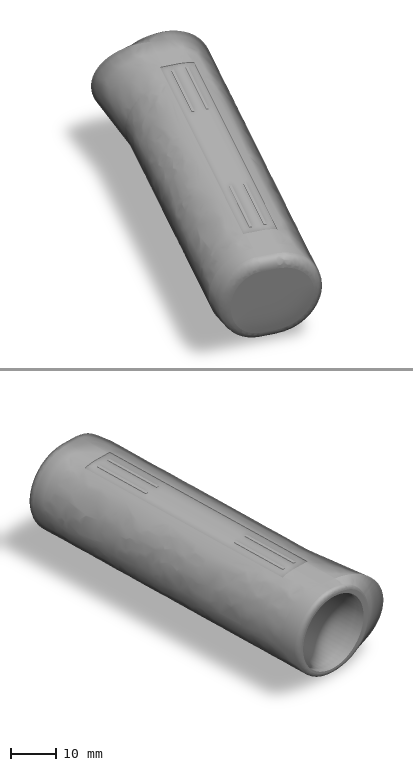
import cadquery as cq
import math

length = 85.0
grip_height = 22.0
radius = grip_height / 2
flat_width = 3.8
bore_diameter = 18.95
wall = radius - bore_diameter / 2

grip_depth = 25.1
flare_depth = 27.9
tail_depth = 24.4
end_depth = 23.55

flare_end = 17.9
tail_start = 79.5
tail_middle = 82.0
lip_back_x = 5.6
lip_front_x = 1.2

mouth_fillet = 1.0
end_fillet = 2.4

panel_start = 12.3
panel_end = 73.95
panel_back = 7.5
panel_front = 15.4
panel_recess = 0.25
bar_width = 0.6
bar_length = 15.2
bar_starts = (14.1, 56.8)
bar_depths = (9.4, 12.75)


def oval_wire(back_x, front_x, depth, inset=0.0):
    """Closed section: half-round back, two level sides and a half-oval front."""
    slope = (back_x - front_x) / depth
    stretch = math.hypot(1, slope)
    half_height = radius - inset
    front_reach = depth - radius - flat_width - inset
    along_y = cq.Vector(slope, 1, 0)
    normal = cq.Vector(1, -slope, 0)
    back_center = cq.Vector(back_x - slope * radius, 0, 0)
    front_center = back_center - along_y * flat_width
    up = cq.Vector(0, 0, half_height)

    def half_oval(center, reach, start_angle, end_angle):
        return cq.Edge.makeEllipse(
            reach * stretch, half_height, center, normal, along_y, start_angle, end_angle
        )

    return cq.Wire.assembleEdges([
        half_oval(back_center, half_height, -90, 90),
        cq.Edge.makeLine(back_center + up, front_center + up),
        half_oval(front_center, front_reach, 90, 270),
        cq.Edge.makeLine(front_center - up, back_center - up),
    ])


def mouth_wire():
    """Mouth circle, split into four arcs that pair with the edges of an oval section."""
    split = math.degrees(math.asin(flat_width / radius))
    angles = (-90, 90, 90 + split, 270 - split, 270)
    arcs = [
        cq.Edge.makeEllipse(
            radius, radius, cq.Vector(0, 0, 0), cq.Vector(1, 0, 0), cq.Vector(0, 1, 0), start, end
        )
        for start, end in zip(angles, angles[1:])
    ]
    return cq.Wire.assembleEdges(arcs)


def grip_body():
    """Flared grip, lofted from the round mouth to the rounded closed end."""
    sections = [
        mouth_wire(),
        oval_wire(lip_back_x, lip_front_x, flare_depth),
        oval_wire(flare_end, flare_end, grip_depth),
        oval_wire(tail_start, tail_start, grip_depth),
        oval_wire(tail_middle, tail_middle, tail_depth),
        oval_wire(length, length, end_depth),
    ]
    body = cq.Workplane(cq.Solid.makeLoft(sections, True))
    body = body.faces(">X").edges().fillet(end_fillet)
    return body.faces("<X").edges().fillet(mouth_fillet)


def top_block(start_x, size_x, back_depth, size_y):
    """Block standing on the bore axis plane, reaching above the grip."""
    return (
        cq.Workplane("XY")
        .box(size_x, size_y, grip_height, centered=False)
        .translate((start_x, radius - back_depth - size_y, 0))
    )


def label_cut():
    """Thin layer removed for the label panel, leaving the bars standing."""
    panel_length = panel_end - panel_start
    core = cq.Solid.extrudeLinear(
        oval_wire(panel_start, panel_start, grip_depth, panel_recess),
        [],
        cq.Vector(panel_length, 0, 0),
    )
    layer = top_block(panel_start, panel_length, panel_back, panel_front - panel_back).cut(
        cq.Workplane(core)
    )
    for start_x in bar_starts:
        for depth in bar_depths:
            layer = layer.cut(top_block(start_x, bar_length, depth, bar_width))
    return layer


bore = cq.Workplane("YZ").circle(bore_diameter / 2).extrude(length - wall)

result = grip_body().cut(bore).cut(label_cut())